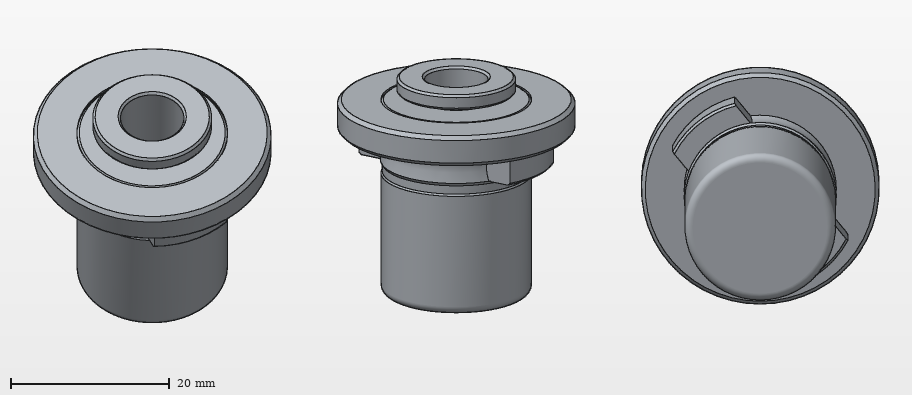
import cadquery as cq

total_height = 28.5
head_thickness = 2.0
flange_top = total_height - 3.0
flange_thickness = 4.0
flange_bottom = flange_top - flange_thickness
lug_height = 4.0
lug_bottom = flange_bottom - lug_height
waist_height = flange_bottom - lug_height / 2
relief_top = 17.1
relief_bottom = 16.0
body_top = 15.75

head_radius = 7.5
flange_radius = 15.0
body_radius = 9.5
waist_end_radius = 9.6
waist_radius = 9.3
relief_radius = 9.35
neck_base_radius = 4.45
neck_top_radius = 4.4
neck_radius = 4.25

small_chamfer = 0.3
flange_chamfer = 0.5
body_fillet = 1.0
neck_base_flare_height = 0.4
neck_top_flare_height = 0.25

lug_width = 10.0
lug_radius = 12.45

bore_radius = 4.0
floor_thickness = body_radius - bore_radius
bore_depth = total_height - floor_thickness


def revolve_profile(profile):
    """Revolve a closed (radius, height) profile about the Z axis."""
    return profile.close().revolve(360, (0, 0, 0), (0, 1, 0))


def make_body():
    """Bottom cylinder with a relief groove and a concave waist up to the flange."""
    waist_depth = waist_end_radius - waist_radius
    half_waist = lug_height / 2
    waist_arc_radius = (half_waist**2 + waist_depth**2) / (2 * waist_depth)
    profile = (
        cq.Workplane("XZ")
        .lineTo(body_radius - body_fillet, 0)
        .radiusArc((body_radius, body_fillet), -body_fillet)
        .lineTo(body_radius, body_top)
        .lineTo(relief_radius, relief_bottom)
        .lineTo(relief_radius, relief_top)
        .lineTo(waist_end_radius, lug_bottom)
        .radiusArc((waist_radius, waist_height), waist_arc_radius)
        .radiusArc((waist_end_radius, flange_bottom), waist_arc_radius)
        .lineTo(0, flange_bottom)
    )
    return revolve_profile(profile)


def make_flange():
    """Flange chamfered on both rims, with a shallow ring groove in its top face."""
    flange = (
        cq.Workplane("XY", origin=(0, 0, flange_bottom))
        .circle(flange_radius)
        .extrude(flange_thickness)
        .edges()
        .chamfer(flange_chamfer)
    )
    groove = (
        cq.Workplane("XZ")
        .moveTo(body_radius - small_chamfer, flange_top)
        .lineTo(body_radius, flange_top - small_chamfer)
        .lineTo(body_radius, flange_top)
    )
    return flange.cut(revolve_profile(groove))


def make_head():
    """Chamfered head disc on a waisted neck."""
    head_bottom = total_height - head_thickness
    head = (
        cq.Workplane("XY", origin=(0, 0, head_bottom))
        .circle(head_radius)
        .extrude(head_thickness)
        .edges()
        .chamfer(small_chamfer)
    )
    neck = (
        cq.Workplane("XZ")
        .moveTo(0, flange_top)
        .lineTo(neck_base_radius, flange_top)
        .lineTo(neck_radius, flange_top + neck_base_flare_height)
        .lineTo(neck_radius, head_bottom - neck_top_flare_height)
        .lineTo(neck_top_radius, head_bottom)
        .lineTo(0, head_bottom)
    )
    return head.union(revolve_profile(neck))


def make_lugs():
    """Two opposite lugs along X: a chamfered disc trimmed to the lug width."""
    ring = (
        cq.Workplane("XY", origin=(0, 0, lug_bottom))
        .circle(lug_radius)
        .extrude(lug_height)
        .edges()
        .chamfer(small_chamfer)
    )
    band = (
        cq.Workplane("XY", origin=(0, 0, lug_bottom))
        .rect(2 * flange_radius, lug_width)
        .extrude(lug_height)
    )
    return ring.intersect(band)


def make_bore():
    """Cutter for the blind bore and the chamfer at its mouth."""
    profile = (
        cq.Workplane("XZ")
        .moveTo(0, total_height - bore_depth)
        .lineTo(bore_radius, total_height - bore_depth)
        .lineTo(bore_radius, total_height - small_chamfer)
        .lineTo(bore_radius + small_chamfer, total_height)
        .lineTo(0, total_height)
    )
    return revolve_profile(profile)


result = (
    make_body()
    .union(make_lugs())
    .union(make_flange())
    .union(make_head())
    .cut(make_bore())
)